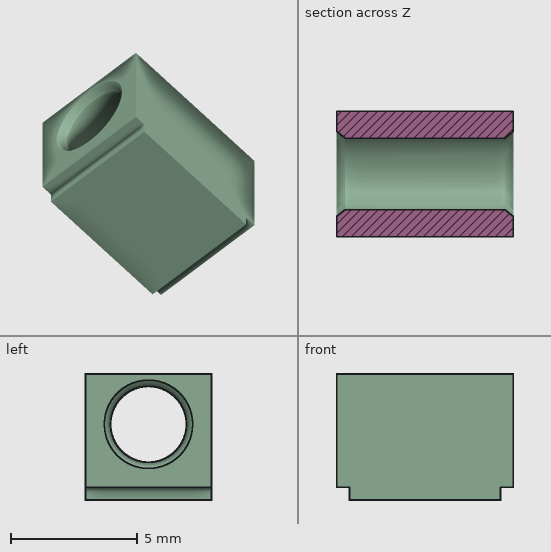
import cadquery as cq

length = 7.0
width = 5.0
height = 5.0

step_length = 0.5
step_height = 0.5

bore_diameter = 3.0
bore_height = 3.0
bore_chamfer_width = 0.25
bore_chamfer_depth = 1.0 / 3.0


def make_block():
    """Rectangular block standing on Z = 0, centred in X and Y."""
    return cq.Workplane("XY").box(length, width, height, centered=(True, True, False))


def make_end_step(side):
    """Cutter for the step under one end; side is -1 or +1 along X."""
    step_center_x = side * (length - step_length) / 2
    return (
        cq.Workplane("XY")
        .center(step_center_x, 0)
        .box(step_length, width, step_height, centered=(True, True, False))
    )


def make_bore():
    """Cutter for the bore: a half profile revolved about the bore axis."""
    bore_radius = bore_diameter / 2
    mouth_radius = bore_radius + bore_chamfer_width
    end_x = length / 2
    straight_x = end_x - bore_chamfer_depth
    return (
        cq.Workplane("XZ", origin=(0, 0, bore_height))
        .moveTo(-end_x, 0)
        .lineTo(-end_x, mouth_radius)
        .lineTo(-straight_x, bore_radius)
        .lineTo(straight_x, bore_radius)
        .lineTo(end_x, mouth_radius)
        .lineTo(end_x, 0)
        .close()
        .revolve(360, (0, 0, 0), (1, 0, 0))
    )


result = make_block()
for side in (-1, 1):
    result = result.cut(make_end_step(side))
result = result.cut(make_bore())